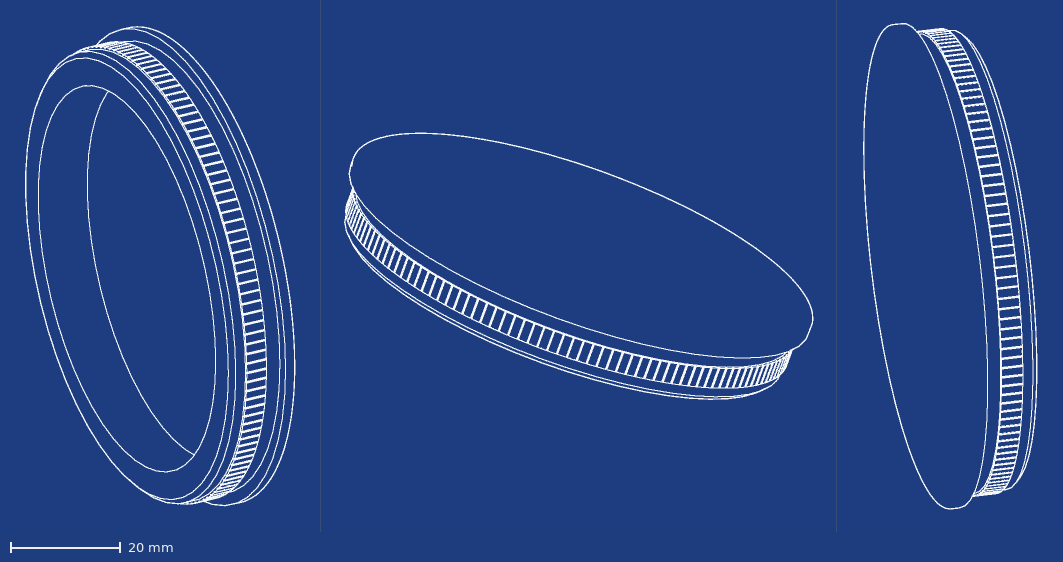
import cadquery as cq
import math

body_length = 10.0
flange_thickness = 2.0
dome_height = 4.0

flange_diameter = 88.9
body_diameter = 84.3
knurl_diameter = 85.3
pocket_diameter = 72.0

pocket_depth = body_length

rim_chamfer = 1.0
flange_fillet = 0.5

knurl_start = 3.0
knurl_end = 7.0
groove_count = 140
groove_width = 0.2
groove_depth = 0.2


def revolve_about_y(profile):
    """Close a half profile on the axis and turn it through a full circle."""
    return profile.close().revolve(360, (0, 0, 0), (0, 1, 0))


def make_body():
    """Plug, flange and shallow spherical dome as one turned profile."""
    body_radius = body_diameter / 2
    flange_radius = flange_diameter / 2
    dome_base = body_length + flange_thickness
    sphere_radius = (flange_radius**2 + dome_height**2) / (2 * dome_height)
    half_angle = math.asin(flange_radius / sphere_radius) / 2
    dome_top = dome_base + dome_height
    dome_mid = (
        sphere_radius * math.sin(half_angle),
        dome_top - sphere_radius * (1 - math.cos(half_angle)),
    )
    profile = (
        cq.Workplane("XY")
        .lineTo(body_radius - rim_chamfer, 0)
        .lineTo(body_radius, rim_chamfer)
        .lineTo(body_radius, body_length)
        .lineTo(flange_radius, body_length)
        .lineTo(flange_radius, dome_base)
        .threePointArc(dome_mid, (0, dome_top))
    )
    dome_rim = cq.NearestToPointSelector((0, dome_base, 0))
    return revolve_about_y(profile).edges(dome_rim).fillet(flange_fillet)


def cylinder_along_y(diameter, start, end):
    """Solid cylinder centred on the Y axis between two Y positions."""
    plane = cq.Workplane("XZ", origin=(0, start, 0))
    return plane.circle(diameter / 2).extrude(start - end)


def make_knurl():
    """Raised band scored by narrow, shallow axial grooves."""
    band = cylinder_along_y(knurl_diameter, knurl_start, knurl_end)
    grooves = (
        cq.Workplane("XZ", origin=(0, knurl_start, 0))
        .polarArray(knurl_diameter / 2, 0, 360, groove_count)
        .rect(2 * groove_depth, groove_width)
        .extrude(knurl_start - knurl_end)
    )
    return band.cut(grooves)


pocket = cylinder_along_y(pocket_diameter, 0, pocket_depth)
result = make_body().union(make_knurl()).cut(pocket)